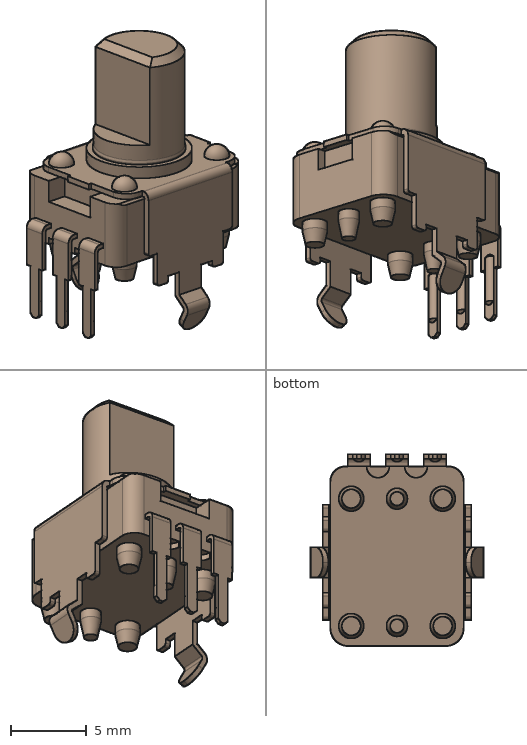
import cadquery as cq
import math


BODY_WIDTH = 8.79
BODY_FRONT = -6.32
BODY_BACK = 5.52
BODY_FRONT_RADIUS = 1.01
CORNER_RADIUS = 1.2
SIDE_CHAMFER = 0.17
RECESS_FLOOR = 3.0
RECESS_WALL = 4.88
FRONT_RECESS_WIDTH = 3.96
BACK_RECESS_WIDTH = 3.0
FOOT_NOTCH_RADIUS = 0.75
FOOT_NOTCH_HEIGHT = 0.43

SHEET = 0.4
COVER_TOP = 4.86
BODY_HEIGHT = COVER_TOP - SHEET
COVER_WIDTH = 8.6
COVER_DEPTH = 10.58
TAB_WIDTH = 2.0
TAB_DEPTH = 2 * BODY_BACK
SKIRT_SPAN = 9.8
SKIRT_DEPTH = 7.6
SKIRT_BOTTOM = 0.37
BEND_INNER_RADIUS = 0.11
BEND_OUTER_RADIUS = BEND_INNER_RADIUS + SHEET
SHEET_CORNER_RADIUS = 0.2
FEET_DEPTH = 5.98
FOOT_WIDTH = 1.0
FEET_BOTTOM = -1.93
FEET_ROOT = -1.45

LEG_SPAN = 11.4
LEG_BOTTOM = -5.72
KINK_HEIGHT = -3.24
KICK_ANGLE = 50.0
RETURN_ANGLE = -28.0
ELBOW_INNER_RADIUS = 0.2
ELBOW_OUTER_RADIUS = ELBOW_INNER_RADIUS + SHEET
TIP_RADIUS = TAB_WIDTH / 2 - 0.01

POST_X = 3.01
POST_Y = 4.19
DOME_RADIUS = 0.85
DOME_HEIGHT = 0.77
PEG_RADIUS = 0.82
PEG_TIP_RADIUS = 0.62
PEG_BOTTOM = -1.53
PEG_TAPER_START = -0.62
MIDDLE_PEG_RADIUS = 0.7
MIDDLE_PEG_TIP_RADIUS = 0.45
MIDDLE_PEG_BOTTOM = -1.83

BUSHING_RADIUS = 3.48
BUSHING_TOP = 5.67
COLLAR_RADIUS = 3.07
COLLAR_TOP = 5.78
SHAFT_RADIUS = 3.01
SHAFT_START = 5.97
SHAFT_TOP = 12.98
FLAT_BOTTOM = 7.01
FLAT_Y = -1.5
SHAFT_CHAMFER = 0.5

PIN_PITCH = 2.5
PIN_SHEET = 0.3
PIN_WIDTH = 1.5
PIN_TAIL_WIDTH = 0.8
PIN_FRONT = -7.12
PIN_TOP = 1.51
PIN_SHOULDER = -1.59
PIN_BOTTOM = -5.12
PIN_TIP_CHAMFER = 0.25
PIN_BEND_RADIUS = 0.5
RIB_TOP = -0.58
RIB_BOTTOM = -4.11
RIB_RADIUS = 0.45
RIB_HEIGHT = 0.2


def block(x_size, y_min, y_max, z_min, z_max):
    """Box centred on X = 0."""
    return (
        cq.Workplane("XY")
        .box(x_size, y_max - y_min, z_max - z_min, centered=(True, False, False))
        .translate((0, y_min, z_min))
    )


def disc(radius, z_min, z_max):
    return cq.Workplane("XY", origin=(0, 0, z_min)).circle(radius).extrude(z_max - z_min)


def revolved(profile):
    """Solid of revolution about Z from (radius, height) points."""
    return cq.Workplane("XZ").polyline(profile).close().revolve(360, (0, 0), (0, 1))


def make_body():
    body = block(BODY_WIDTH, BODY_FRONT, BODY_BACK, 0, BODY_HEIGHT)
    body = body.edges("|Z and <Y").fillet(BODY_FRONT_RADIUS)
    body = body.edges("|Z and >Y").fillet(CORNER_RADIUS)

    half_width = BODY_WIDTH / 2
    chamfer = (
        cq.Workplane("XZ", origin=(0, BODY_BACK, 0))
        .moveTo(half_width, BODY_HEIGHT - SIDE_CHAMFER)
        .lineTo(half_width, BODY_HEIGHT)
        .lineTo(half_width - SIDE_CHAMFER, BODY_HEIGHT)
        .close()
        .extrude(BODY_BACK - BODY_FRONT)
    )
    body = body.cut(chamfer).cut(chamfer.mirror("YZ"))

    body = body.cut(block(FRONT_RECESS_WIDTH, BODY_FRONT, -RECESS_WALL, RECESS_FLOOR, BODY_HEIGHT))
    body = body.cut(block(BACK_RECESS_WIDTH, RECESS_WALL, BODY_BACK, RECESS_FLOOR, BODY_HEIGHT))

    for side in (-1, 1):
        notch = disc(FOOT_NOTCH_RADIUS, 0, FOOT_NOTCH_HEIGHT)
        body = body.cut(notch.translate((side * PIN_PITCH / 2, BODY_FRONT, 0)))
    return body


def make_cover():
    half_depth = SKIRT_DEPTH / 2
    skirts = block(SKIRT_SPAN, -half_depth, half_depth, SKIRT_BOTTOM, COVER_TOP)
    skirts = skirts.edges("|Y and >Z").fillet(BEND_OUTER_RADIUS)
    hollow = block(SKIRT_SPAN - 2 * SHEET, -half_depth, half_depth, SKIRT_BOTTOM, BODY_HEIGHT)
    hollow = hollow.edges("|Y and >Z").fillet(BEND_INNER_RADIUS)
    skirts = skirts.cut(hollow).edges("|X and <Z").fillet(SHEET_CORNER_RADIUS)

    plate = block(COVER_WIDTH, -COVER_DEPTH / 2, COVER_DEPTH / 2, BODY_HEIGHT, COVER_TOP)
    plate = plate.edges("|Z").fillet(CORNER_RADIUS)
    tabs = block(TAB_WIDTH, -TAB_DEPTH / 2, TAB_DEPTH / 2, BODY_HEIGHT, COVER_TOP)
    return plate.union(tabs).union(skirts)


def make_skirt_feet():
    """Two short feet and the strip joining them, below the +X skirt."""
    half_depth = FEET_DEPTH / 2
    feet = block(SHEET, -half_depth, half_depth, FEET_ROOT, SKIRT_BOTTOM)
    for y_min in (-half_depth, half_depth - FOOT_WIDTH):
        foot = block(SHEET, y_min, y_min + FOOT_WIDTH, FEET_BOTTOM, FEET_ROOT)
        feet = feet.union(foot.edges("|X and <Z").fillet(SHEET_CORNER_RADIUS))
    return feet.translate(((SKIRT_SPAN - SHEET) / 2, 0, 0))


def outward(point, angle, distance):
    """Move a point square to a strip that leans outward by angle from vertical."""
    lean = math.radians(angle)
    return (point[0] + distance * math.cos(lean), point[1] + distance * math.sin(lean))


def make_snap_leg():
    """Bent +X leg: straight down, kicked outward, then returning inward."""
    inner_x = SKIRT_SPAN / 2 - SHEET
    kick = math.radians(KICK_ANGLE)
    back = math.radians(RETURN_ANGLE)

    kink = (inner_x, KINK_HEIGHT)
    elbow_x = LEG_SPAN / 2 - ELBOW_OUTER_RADIUS
    arc_start_x = elbow_x + ELBOW_INNER_RADIUS * math.cos(kick)
    arc_start = (arc_start_x, KINK_HEIGHT - (arc_start_x - inner_x) / math.tan(kick))
    elbow_center = outward(arc_start, KICK_ANGLE, -ELBOW_INNER_RADIUS)
    arc_end = outward(elbow_center, RETURN_ANGLE, ELBOW_INNER_RADIUS)
    tip_z = LEG_BOTTOM - SHEET * math.sin(back)
    tip = (arc_end[0] + (arc_end[1] - tip_z) * math.tan(back), tip_z)

    outer_kink = outward(kink, KICK_ANGLE / 2, SHEET / math.cos(kick / 2))
    middle_angle = (KICK_ANGLE + RETURN_ANGLE) / 2
    leg = (
        cq.Workplane("XZ")
        .moveTo(inner_x, SKIRT_BOTTOM)
        .lineTo(*kink)
        .lineTo(*arc_start)
        .threePointArc(outward(elbow_center, middle_angle, ELBOW_INNER_RADIUS), arc_end)
        .lineTo(*tip)
        .lineTo(*outward(tip, RETURN_ANGLE, SHEET))
        .lineTo(*outward(arc_end, RETURN_ANGLE, SHEET))
        .threePointArc(
            outward(elbow_center, middle_angle, ELBOW_OUTER_RADIUS),
            outward(arc_start, KICK_ANGLE, SHEET),
        )
        .lineTo(*outer_kink)
        .lineTo(inner_x + SHEET, SKIRT_BOTTOM)
        .close()
        .extrude(TAB_WIDTH / 2, both=True)
    )

    tip_x, tip_mid_z = outward(tip, RETURN_ANGLE, SHEET / 2)
    for side in (-1, 1):
        corner = (tip_x, side * TAB_WIDTH / 2, tip_mid_z)
        leg = leg.edges(cq.selectors.NearestToPointSelector(corner)).fillet(TIP_RADIUS)
    return leg


def make_peg(radius, tip_radius, bottom):
    profile = [(0, 0), (radius, 0), (radius, PEG_TAPER_START), (tip_radius, bottom), (0, bottom)]
    return revolved(profile)


def make_dome():
    """Spherical cap with the given base radius and height, on the cover."""
    sphere_radius = (DOME_RADIUS**2 + DOME_HEIGHT**2) / (2 * DOME_HEIGHT)
    sphere = cq.Workplane("XY").sphere(sphere_radius)
    sphere = sphere.translate((0, 0, COVER_TOP + DOME_HEIGHT - sphere_radius))
    return sphere.intersect(disc(2 * sphere_radius, COVER_TOP, COVER_TOP + DOME_HEIGHT))


def make_shaft():
    bushing = disc(BUSHING_RADIUS, COVER_TOP, BUSHING_TOP)
    collar = revolved([
        (0, BUSHING_TOP),
        (COLLAR_RADIUS, BUSHING_TOP),
        (COLLAR_RADIUS, COLLAR_TOP),
        (SHAFT_RADIUS, SHAFT_START),
        (0, SHAFT_START),
    ])
    shaft = disc(SHAFT_RADIUS, SHAFT_START, SHAFT_TOP)
    shaft = shaft.cut(block(2 * SHAFT_RADIUS, -SHAFT_RADIUS, FLAT_Y, FLAT_BOTTOM, SHAFT_TOP))
    shaft = shaft.faces(">Z").chamfer(SHAFT_CHAMFER)
    return bushing.union(collar).union(shaft)


def make_pin():
    """Terminal on X = 0: an L-bent strip with a narrow tail and a stiffening rib."""
    inner_face = PIN_FRONT + PIN_SHEET
    pin = block(PIN_WIDTH, PIN_FRONT, BODY_FRONT, PIN_SHOULDER, PIN_TOP)
    pin = pin.edges("|X and <Y and >Z").fillet(PIN_BEND_RADIUS)
    inside = block(PIN_WIDTH, inner_face, BODY_FRONT, PIN_SHOULDER, PIN_TOP - PIN_SHEET)
    inside = inside.edges("|X and <Y and >Z").fillet(PIN_BEND_RADIUS - PIN_SHEET)
    tail = block(PIN_TAIL_WIDTH, PIN_FRONT, inner_face, PIN_BOTTOM, PIN_SHOULDER)
    tail = tail.edges("|Y and <Z").chamfer(PIN_TIP_CHAMFER)

    rib = disc(RIB_RADIUS, RIB_BOTTOM, RIB_TOP).faces("<Z or >Z").chamfer(RIB_HEIGHT)
    rib = rib.translate((0, inner_face + RIB_HEIGHT - RIB_RADIUS, 0))
    rib = rib.intersect(block(PIN_WIDTH, inner_face, inner_face + RIB_HEIGHT, RIB_BOTTOM, RIB_TOP))
    return pin.cut(inside).union(tail).union(rib)


part = make_body().union(make_cover()).union(make_shaft())

side_metal = make_skirt_feet().union(make_snap_leg())
part = part.union(side_metal).union(side_metal.mirror("YZ"))

post = make_dome().union(make_peg(PEG_RADIUS, PEG_TIP_RADIUS, PEG_BOTTOM))
middle_peg = make_peg(MIDDLE_PEG_RADIUS, MIDDLE_PEG_TIP_RADIUS, MIDDLE_PEG_BOTTOM)
for y in (-POST_Y, POST_Y):
    part = part.union(middle_peg.translate((0, y, 0)))
    for x in (-POST_X, POST_X):
        part = part.union(post.translate((x, y, 0)))

for x in (-PIN_PITCH, 0, PIN_PITCH):
    part = part.union(make_pin().translate((x, 0, 0)))

result = part